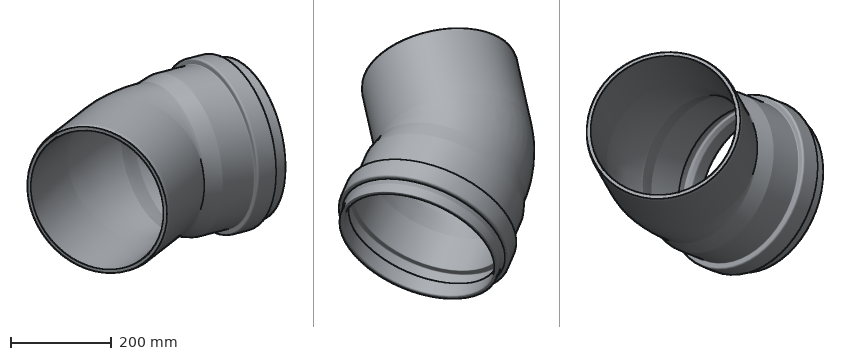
import cadquery as cq
import math

spigot_od = 315.3
spigot_id = 295.3
spigot_length = 162.4
end_chamfer_length = 8.0
end_chamfer_depth = 2.0

bend_angle = 30.0
bend_radius = 148.0

socket_od = 335.5
socket_id = 317.5
bead_od = 361.2
bead_id = 343.2
lip_od = 335.1
lip_id = 317.1
bead_cone_od = 343.2
bead_cone_id = 331.0

socket_wall = (socket_od - socket_id) / 2
collar_end = 3.5
cone_end = 40.0
bead_start = 114.5
bead_end = 159.8
lip_start = 168.5
socket_end = 189.6
bore_cone_end = 42.0
groove_start = bead_start + socket_wall
groove_end = bead_end - socket_wall
groove_cone_end = 158.0

bead_fillet = 4.0
foot_fillet = 1.5
groove_fillet = 2.0
lip_bore_fillet = 5.0

rim_outer_fillet = 1.0
rim_inner_fillet = 3.0

spigot_radius = spigot_od / 2
bore_radius = spigot_id / 2


def turned(corners):
    """Solid of revolution about Y.

    Each corner of the outer line is (radius, distance) or, where the corner
    is rounded, (radius, distance, fillet).
    """
    first, last = corners[0], corners[-1]
    line = cq.Workplane("XY").moveTo(0, first[1]).lineTo(first[0], first[1])
    for before, corner, after in zip(corners, corners[1:], corners[2:]):
        point = cq.Vector(corner[0], corner[1])
        if len(corner) == 2:
            line = line.lineTo(point.x, point.y)
            continue
        fillet = corner[2]
        back = (cq.Vector(before[0], before[1]) - point).normalized()
        ahead = (cq.Vector(after[0], after[1]) - point).normalized()
        half_angle = back.getAngle(ahead) / 2
        setback = fillet / math.tan(half_angle)
        arc_depth = fillet / math.sin(half_angle) - fillet
        arc_start = point + back * setback
        arc_middle = point + (back + ahead).normalized() * arc_depth
        arc_end = point + ahead * setback
        line = line.lineTo(arc_start.x, arc_start.y)
        line = line.threePointArc((arc_middle.x, arc_middle.y), (arc_end.x, arc_end.y))
    line = line.lineTo(last[0], last[1]).lineTo(0, last[1]).close()
    return line.revolve(360, (0, 0, 0), (0, 1, 0))


def bend(tube_radius):
    """Round tube swept about the bend centre; what lies beyond that centre line is left out."""
    section = cq.Sketch().circle(tube_radius)
    if tube_radius > bend_radius:
        beyond = cq.Location(cq.Vector(bend_radius + tube_radius, 0))
        section = section.push([beyond]).rect(2 * tube_radius, 2 * tube_radius, mode="s").reset()
    start = cq.Workplane("XZ", origin=(0, spigot_length, 0)).placeSketch(section)
    return start.revolve(bend_angle, (bend_radius, 1, 0), (bend_radius, 0, 0))


def at_bend_end(body):
    """Carry a body turned about Y from the origin to the far end of the bend."""
    centre = (bend_radius, spigot_length, 0)
    above_centre = (bend_radius, spigot_length, 1)
    return body.translate((0, spigot_length, 0)).rotate(centre, above_centre, -bend_angle)


def spigot_outside():
    return turned([
        (spigot_radius - end_chamfer_depth, 0),
        (spigot_radius, end_chamfer_length),
        (spigot_radius, spigot_length),
    ])


def spigot_bore():
    return turned([(bore_radius, 0), (bore_radius, spigot_length)])


def socket_outside():
    return turned([
        (spigot_radius, 0),
        (spigot_radius, collar_end),
        (socket_od / 2, cone_end),
        (socket_od / 2, bead_start, foot_fillet),
        (bead_od / 2, bead_start, bead_fillet),
        (bead_od / 2, bead_end, bead_fillet),
        (bead_cone_od / 2, bead_end),
        (lip_od / 2, lip_start, foot_fillet),
        (lip_od / 2, socket_end, rim_outer_fillet),
        (lip_id / 2, socket_end),
    ])


def socket_bore():
    """Hollow of the socket, widened past the mouth so that its inner rim comes out rounded."""
    return turned([
        (bore_radius, 0),
        (bore_radius, collar_end),
        (socket_id / 2, bore_cone_end),
        (socket_id / 2, groove_start, foot_fillet),
        (bead_id / 2, groove_start, groove_fillet),
        (bead_id / 2, groove_end, groove_fillet),
        (bead_cone_id / 2, groove_end, foot_fillet),
        (lip_id / 2, groove_cone_end, lip_bore_fillet),
        (lip_id / 2, socket_end, rim_inner_fillet),
        (lip_od / 2, socket_end),
        (lip_od / 2, socket_end + rim_inner_fillet),
    ])


outside = spigot_outside().union(bend(spigot_radius)).union(at_bend_end(socket_outside()))
bore = spigot_bore().union(bend(bore_radius)).union(at_bend_end(socket_bore()))

result = outside.cut(bore)